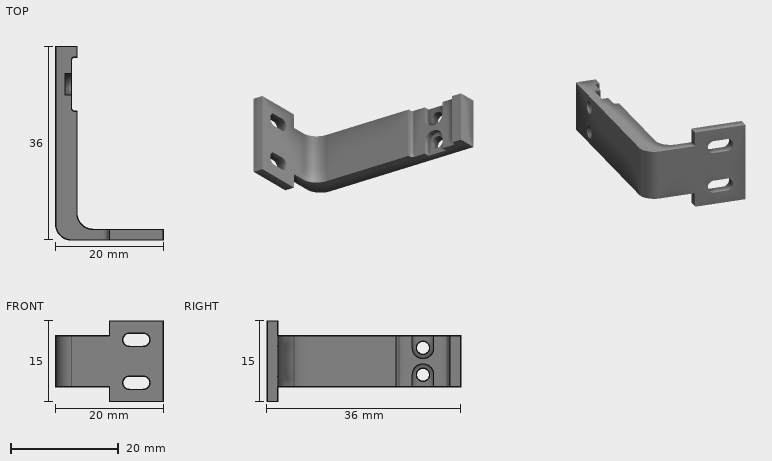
import cadquery as cq

length_x = 20.0
length_y = 36.0
plate_height = 15.0

arm_height = 9.5
arm_thickness = 4.0
foot_thickness = 2.0
bend_radius = 3.0
plate_width = length_x / 2

notch_length = 10.0
notch_depth = 1.0
notch_end_offset = 2.0
notch_corner_radius = 0.5

arm_hole_diameter = 2.4
arm_hole_spacing = 5.0
recess_width = 4.0
recess_floor_x = 1.8

slot_length = 5.0
slot_width = 2.4
slot_spacing = 8.0

notch_center_y = length_y - notch_end_offset - notch_length / 2
plate_center_x = length_x - plate_width / 2


def make_bracket():
    """L-shaped arm and foot with a rounded bend."""
    profile = (
        cq.Workplane("XY")
        .workplane(offset=-arm_height / 2)
        .moveTo(0, 0)
        .lineTo(length_x, 0)
        .lineTo(length_x, foot_thickness)
        .lineTo(arm_thickness, foot_thickness)
        .lineTo(arm_thickness, length_y)
        .lineTo(0, length_y)
        .close()
    )
    bracket = profile.extrude(arm_height)
    outer_corner = cq.selectors.NearestToPointSelector((0, 0, 0))
    inner_corner = cq.selectors.NearestToPointSelector((arm_thickness, foot_thickness, 0))
    bracket = bracket.edges("|Z").edges(outer_corner).fillet(bend_radius)
    return bracket.edges("|Z").edges(inner_corner).fillet(bend_radius)


def make_mounting_plate():
    """Taller plate at the free end of the foot."""
    plate = cq.Workplane("XY").box(plate_width, foot_thickness, plate_height)
    return plate.translate((plate_center_x, foot_thickness / 2, 0))


def make_slots():
    """Cutters for the two slots through the mounting plate."""
    return (
        cq.Workplane("XZ")
        .pushPoints([(plate_center_x, side * slot_spacing / 2) for side in (-1, 1)])
        .slot2D(slot_length, slot_width)
        .extrude(-foot_thickness)
    )


def make_notch():
    """Notch cutter with rounded floor corners."""
    cutter = cq.Workplane("XY").box(notch_depth, notch_length, arm_height)
    cutter = cutter.edges("|Z and <X").fillet(notch_corner_radius)
    return cutter.translate((arm_thickness - notch_depth / 2, notch_center_y, 0))


def make_hole_and_recess(side):
    """Cutter for one arm hole and its recess; side is the sign of Z."""
    hole_z = side * arm_hole_spacing / 2
    edge_z = side * arm_height / 2
    hole = (
        cq.Workplane("YZ")
        .center(notch_center_y, hole_z)
        .circle(arm_hole_diameter / 2)
        .extrude(arm_thickness)
    )
    recess = (
        cq.Workplane("YZ")
        .workplane(offset=recess_floor_x)
        .moveTo(notch_center_y - recess_width / 2, edge_z)
        .lineTo(notch_center_y - recess_width / 2, hole_z)
        .threePointArc(
            (notch_center_y, hole_z - side * recess_width / 2),
            (notch_center_y + recess_width / 2, hole_z),
        )
        .lineTo(notch_center_y + recess_width / 2, edge_z)
        .close()
        .extrude(arm_thickness - recess_floor_x)
    )
    return hole.union(recess)


result = make_bracket().union(make_mounting_plate())
result = result.cut(make_slots())
result = result.cut(make_notch())
for z_side in (-1, 1):
    result = result.cut(make_hole_and_recess(z_side))